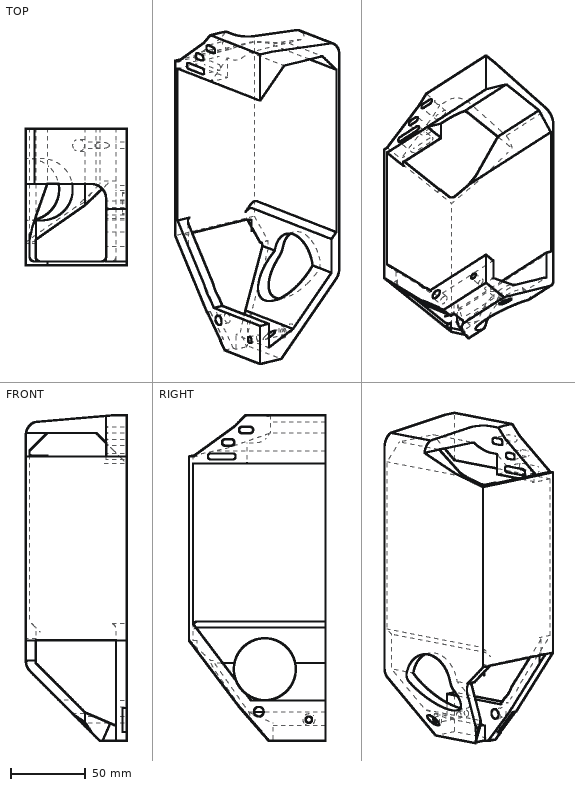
import cadquery as cq
import math

WIDTH = 68.0
DEPTH = 91.84
HEIGHT = 218.73
MARGIN = 5.0

CAP_FLAT_X = 58.7
CAP_LEFT_X = 6.1
CAP_ARC_RADIUS = 10.0
CAP_ARC_START_Z = 205.0
BASE_SLOPE = 49.8
BASE_CORNER_RADIUS = 10.0

WALL = 2.7
LOWER_LEFT_WALL = 6.8
LOWER_RIGHT_WALL = 7.4
LEFT_STEP_Z = 76.0
CEILING_Z = 206.7
CEILING_LEFT_X = 14.6
CEILING_RIGHT_X = 47.4
FLOOR_SLOPE = 59.0
FLOOR_BEND_X = 39.8
FLOOR_END_Z = 10.2
CAVITY_CORNER_RADIUS = 3.0
RIGHT_WALL_X = WIDTH - LOWER_RIGHT_WALL

FRONT_TOP_Z = 191.0
RAIL_X = 54.0
RAIL_BACK_Y = 39.0
RAIL_BOTTOM_Z = CEILING_Z - (WIDTH - CEILING_RIGHT_X)
RAIL_BEND = (31.0, 211.5)
RAIL_TOP_Y = 38.0
OPENING_BACK_Y = 54.7
OPENING_RADIUS = 10.0
LEFT_EDGE_BEND = (25.8, 196.6)
LEFT_EDGE_TOP_Z = CEILING_Z

FRONT_BOTTOM_Z = 67.4
RIGHT_EDGE = [(0, FRONT_BOTTOM_Z), (34.3, 22.0), (52.4, 1.4), (53.5, 0)]
LEFT_EDGE = [(0, FRONT_BOTTOM_Z), (14.6, 54.0), (14.6, 0)]

END_ORIGIN = (FLOOR_BEND_X, 43.5, 10.0)
LEFT_END_RISE = (0.35, -0.35)
RIGHT_END_RISE = (0.80, -0.35)
END_BACK_Y = 56.5

WINDOW_BOTTOM_Z = 27.0
WINDOW_BORDER = 9.0

PORT_DIAMETER = 41.5
PORT_Y = 51.0
PORT_Z = 48.1
SCREW_DIAMETER = 4.2
SCREW_HEAD_DIAMETER = 8.0
SCREW_HEAD_FLOOR_X = FLOOR_BEND_X
SCREW_Y = 80.6
SCREW_Z = 14.2
LOWER_HOLE_DIAMETER = 6.5
LOWER_HOLE_Y = 47.0
LOWER_HOLE_Z = 19.6
SLOT_WIDTH = 4.2
SLOTS = [
    (38.4, 208.8, 9.4),
    (26.4, 200.4, 8.2),
    (22.1, 191.0, 18.7),
]

RECESS_X = 65.2
RECESS_TOP_Z = 22.0
RECESS_BOTTOM_Z = 6.0
RECESS_DEPTH = 0.5


def box(x0, x1, y0, y1, z0, z1):
    """Axis-aligned block between two opposite corners."""
    return cq.Workplane("XY").box(x1 - x0, y1 - y0, z1 - z0, centered=False).translate((x0, y0, z0))


def prism_x(points, x0, x1):
    """Polygon of (Y, Z) points extruded along X."""
    return cq.Workplane("YZ").workplane(offset=x0).polyline(points).close().extrude(x1 - x0)


def rod_x(y, z, diameter, x0, x1):
    """Cylinder along X."""
    return cq.Workplane("YZ").workplane(offset=x0).center(y, z).circle(diameter / 2).extrude(x1 - x0)


def cap_arc_point(angle):
    """Point of the rounded cap corner in the XZ plane."""
    x = CAP_ARC_RADIUS * (1 + math.cos(angle))
    z = CAP_ARC_START_Z + CAP_ARC_RADIUS * math.sin(angle)
    return (x, z)


def outer_block():
    """Solid envelope with the rounded cap and sloping base."""
    end_angle = math.acos((CAP_LEFT_X - CAP_ARC_RADIUS) / CAP_ARC_RADIUS)
    mid_angle = (math.pi + end_angle) / 2
    arc_end = cap_arc_point(end_angle)
    block = (
        cq.Workplane("XZ")
        .moveTo(BASE_SLOPE, 0)
        .lineTo(WIDTH, 0)
        .lineTo(WIDTH, HEIGHT)
        .lineTo(CAP_FLAT_X, HEIGHT)
        .lineTo(*arc_end)
        .threePointArc(cap_arc_point(mid_angle), (0, CAP_ARC_START_Z))
        .lineTo(0, BASE_SLOPE)
        .close()
        .extrude(-DEPTH)
    )
    corner = cq.selectors.NearestToPointSelector((0, DEPTH / 2, BASE_SLOPE))
    return block.edges(corner).fillet(BASE_CORNER_RADIUS)


def cavity():
    """Inner space, open at the back, leaving the rail behind the front wall."""
    left_chamfer_z = CEILING_Z - (CEILING_LEFT_X - WALL)
    right_chamfer_z = CEILING_Z - (RIGHT_WALL_X - CEILING_RIGHT_X)
    step_top_z = LEFT_STEP_Z + LOWER_LEFT_WALL - WALL
    outline = [
        (WALL, left_chamfer_z),
        (CEILING_LEFT_X, CEILING_Z),
        (CEILING_RIGHT_X, CEILING_Z),
        (RIGHT_WALL_X, right_chamfer_z),
        (RIGHT_WALL_X, FLOOR_END_Z),
        (FLOOR_BEND_X, FLOOR_SLOPE - FLOOR_BEND_X),
        (LOWER_LEFT_WALL, FLOOR_SLOPE - LOWER_LEFT_WALL),
        (LOWER_LEFT_WALL, LEFT_STEP_Z),
        (WALL, step_top_z),
    ]
    space = (
        cq.Workplane("XZ", origin=(0, WALL, 0)).polyline(outline).close().extrude(WALL - DEPTH - MARGIN)
    )
    rail = box(RAIL_X, WIDTH, 0, RAIL_BACK_Y, RAIL_BOTTOM_Z, HEIGHT)
    return space.cut(rail).edges("|Z").edges("<Y").fillet(CAVITY_CORNER_RADIUS)


def right_window():
    """Window through the right wall, parallel to the sloping edge below."""
    (y0, z0), (y1, z1) = RIGHT_EDGE[:2]
    slope = (z1 - z0) / (y1 - y0)
    border_rise = WINDOW_BORDER * math.hypot(1, slope)
    front_z = z0 + slope * WALL + border_rise
    corner_y = (WINDOW_BOTTOM_Z - z0 - border_rise) / slope
    outline = [
        (WALL, front_z),
        (corner_y, WINDOW_BOTTOM_Z),
        (DEPTH + MARGIN, WINDOW_BOTTOM_Z),
        (DEPTH + MARGIN, RAIL_BOTTOM_Z),
        (WALL, RAIL_BOTTOM_Z),
    ]
    window = prism_x(outline, RIGHT_WALL_X - MARGIN, WIDTH)
    chamfer = (
        cq.Workplane("XZ", origin=(0, RAIL_BACK_Y, 0))
        .polyline([(CEILING_RIGHT_X, CEILING_Z), (WIDTH, RAIL_BOTTOM_Z), (CEILING_RIGHT_X, RAIL_BOTTOM_Z)])
        .close()
        .extrude(RAIL_BACK_Y - DEPTH - MARGIN)
    )
    return window.union(chamfer)


def top_opening():
    """Opening in the upper front, above the left wall's rising edge."""
    opening = box(-MARGIN, RAIL_X, -MARGIN, OPENING_BACK_Y, FRONT_TOP_Z, HEIGHT + MARGIN)
    opening = opening.edges("|Z and >X and >Y").fillet(OPENING_RADIUS)
    left_edge = [
        (0, FRONT_TOP_Z),
        LEFT_EDGE_BEND,
        (OPENING_BACK_Y, LEFT_EDGE_TOP_Z),
        (OPENING_BACK_Y, FRONT_TOP_Z),
    ]
    return opening.cut(prism_x(left_edge, 0, CEILING_LEFT_X))


def rail_slope():
    """Space in front of and above the sloping rail."""
    outline = [
        (-MARGIN, FRONT_TOP_Z),
        (WALL, FRONT_TOP_Z),
        RAIL_BEND,
        (RAIL_TOP_Y, HEIGHT),
        (-MARGIN, HEIGHT),
    ]
    return prism_x(outline, RAIL_X, WIDTH)


def below_edge(edge, x0, x1):
    """Space in front of and below a lower edge line of the shell."""
    front_z = edge[0][1]
    return prism_x([(-MARGIN, front_z)] + edge + [(-MARGIN, 0)], x0, x1)


def in_front_of_plane(rise):
    """Half-space in front of a plane through END_ORIGIN with the given rises of Y."""
    rise_x, rise_z = rise
    plane = cq.Plane(origin=END_ORIGIN, xDir=(1, rise_x, 0), normal=(rise_x, -1, rise_z))
    return cq.Workplane(plane).rect(2 * HEIGHT, 2 * HEIGHT).extrude(HEIGHT)


def floor_end():
    """Space in front of the sloping floor, on both sides of the floor bend."""
    left_top_z = LEFT_EDGE[1][1]
    left = box(-MARGIN, FLOOR_BEND_X, -MARGIN, DEPTH, 0, left_top_z)
    right = box(FLOOR_BEND_X, RIGHT_WALL_X, -MARGIN, END_BACK_Y, 0, left_top_z)
    left = left.intersect(in_front_of_plane(LEFT_END_RISE))
    right = right.intersect(in_front_of_plane(RIGHT_END_RISE))
    return left.union(right)


def front_wall_bottom():
    """Space under the level bottom edge of the front wall."""
    return box(LOWER_LEFT_WALL, RIGHT_WALL_X, -MARGIN, 2 * WALL, LEFT_EDGE[1][1], FRONT_BOTTOM_Z)


def edge_recess():
    """Shallow recess following the second slope of the right edge."""
    (y0, z0), (y1, z1) = RIGHT_EDGE[1:3]
    run = (y1 - y0) / (z1 - z0)
    bottom_y = y0 + run * (RECESS_BOTTOM_Z - z0)
    outline = [
        (y0, RECESS_TOP_Z),
        (y0 + RECESS_DEPTH, RECESS_TOP_Z),
        (bottom_y + RECESS_DEPTH, RECESS_BOTTOM_Z),
        (bottom_y, RECESS_BOTTOM_Z),
    ]
    return prism_x(outline, RECESS_X, WIDTH)


def screw_hole():
    """Screw hole through the floor and right wall, with a head recess."""
    head = rod_x(SCREW_Y, SCREW_Z, SCREW_HEAD_DIAMETER, 0, SCREW_HEAD_FLOOR_X)
    return rod_x(SCREW_Y, SCREW_Z, SCREW_DIAMETER, 0, WIDTH).union(head)


def rail_slot(y, z, length):
    """Horizontal round-ended slot through the rail."""
    slot = cq.Workplane("YZ").workplane(offset=RAIL_X - MARGIN).center(y, z).slot2D(length, SLOT_WIDTH)
    return slot.extrude(WIDTH - RAIL_X + MARGIN)


body = outer_block()
body = body.cut(cavity())
body = body.cut(right_window())
body = body.cut(top_opening())
body = body.cut(rail_slope())
body = body.cut(below_edge(RIGHT_EDGE, 0, WIDTH))
body = body.cut(below_edge(LEFT_EDGE, 0, LOWER_LEFT_WALL))
body = body.cut(front_wall_bottom())
body = body.cut(floor_end())
body = body.cut(edge_recess())
body = body.cut(rod_x(PORT_Y, PORT_Z, PORT_DIAMETER, 0, WIDTH))
body = body.cut(screw_hole())
body = body.cut(rod_x(LOWER_HOLE_Y, LOWER_HOLE_Z, LOWER_HOLE_DIAMETER, RIGHT_WALL_X, WIDTH))
for slot_y, slot_z, slot_length in SLOTS:
    body = body.cut(rail_slot(slot_y, slot_z, slot_length))

result = body